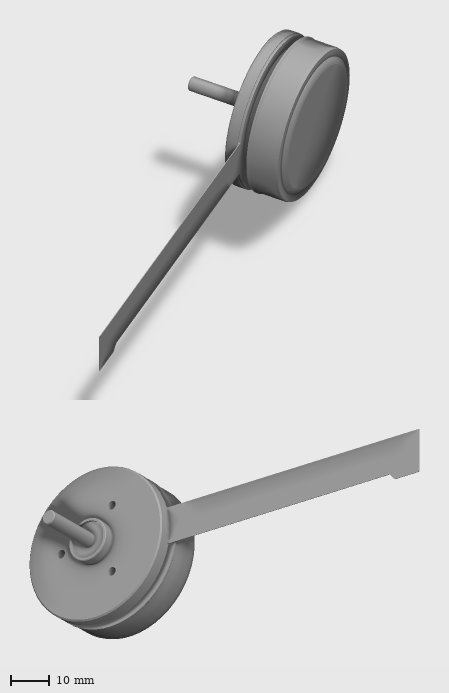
import cadquery as cq
import math

BOSS_START = 17.2
RECESS_FLOOR = 18.1
PLATE_START = 20.6
PLATE_END = 24.0
CIRCUIT_END = 24.7
FLANGE_START = 27.0
FLANGE_RIM_END = 27.4
FLANGE_END = 27.8
CAN_END = 35.9
STEP_END = 36.2
OVERALL_LENGTH = 37.0

SHAFT_RADIUS = 2.0
BOSS_RADIUS = 6.0
RECESS_RADIUS = 5.2
PLATE_RADIUS = 21.6
CIRCUIT_RADIUS = 21.3
NECK_RADIUS = 18.25
CAN_RADIUS = CIRCUIT_RADIUS
STEP_RADIUS = 19.0
REAR_RADIUS = 17.25

REAR_ARC_MIDDLE = (36.7, 18.25)

SHAFT_CHAMFER = 0.3
BOSS_CHAMFER = 0.2
PLATE_CHAMFER = 0.4
CAN_CHAMFER_LENGTH = 0.8
CAN_CHAMFER_DEPTH = 0.2

HOLE_COUNT = 3
HOLE_CIRCLE_RADIUS = 11.0
HOLE_RADIUS = 1.2
HOLE_DEPTH = 2.5
DRILL_POINT_ANGLE = 118.0

RIBBON_THICKNESS = 0.2
OVERALL_SPAN = 124.1
RIBBON_END = OVERALL_SPAN - PLATE_RADIUS
RIBBON_TOP = 6.15
RIBBON_BOTTOM = -4.3
CONTACT_BOTTOM = -RIBBON_TOP
CONTACT_LENGTH = 7.95
CONTACT_TAPER_LENGTH = 1.7


def make_body():
    """Revolve the half section of the motor (axial position, radius) about X."""
    half_section = [
        (0, 0),
        (0, SHAFT_RADIUS - SHAFT_CHAMFER),
        (SHAFT_CHAMFER, SHAFT_RADIUS),
        (RECESS_FLOOR, SHAFT_RADIUS),
        (RECESS_FLOOR, RECESS_RADIUS),
        (BOSS_START, RECESS_RADIUS),
        (BOSS_START, BOSS_RADIUS - BOSS_CHAMFER),
        (BOSS_START + BOSS_CHAMFER, BOSS_RADIUS),
        (PLATE_START, BOSS_RADIUS),
        (PLATE_START, PLATE_RADIUS - PLATE_CHAMFER),
        (PLATE_START + PLATE_CHAMFER, PLATE_RADIUS),
        (PLATE_END, PLATE_RADIUS),
        (PLATE_END, CIRCUIT_RADIUS),
        (CIRCUIT_END, CIRCUIT_RADIUS),
        (CIRCUIT_END, NECK_RADIUS),
        (FLANGE_START, NECK_RADIUS),
        (FLANGE_START, PLATE_RADIUS),
        (FLANGE_RIM_END, PLATE_RADIUS),
        (FLANGE_END, CAN_RADIUS),
        (CAN_END - CAN_CHAMFER_LENGTH, CAN_RADIUS),
        (CAN_END, CAN_RADIUS - CAN_CHAMFER_DEPTH),
        (CAN_END, STEP_RADIUS),
        (STEP_END, STEP_RADIUS),
    ]
    section = (
        cq.Workplane("XY")
        .polyline(half_section)
        .threePointArc(REAR_ARC_MIDDLE, (OVERALL_LENGTH, REAR_RADIUS))
        .lineTo(OVERALL_LENGTH, 0)
        .close()
    )
    return section.revolve(360, (0, 0, 0), (1, 0, 0))


def make_ribbon_tab():
    """Fill the circuit disc out to the plate radius where the ribbon leaves it."""
    tab_length = CIRCUIT_END - PLATE_END
    disc = cq.Workplane("YZ", origin=(PLATE_END, 0, 0)).circle(PLATE_RADIUS).extrude(tab_length)
    window = cq.Workplane("XY").box(
        tab_length, PLATE_RADIUS, RIBBON_TOP - RIBBON_BOTTOM, centered=False
    )
    return disc.intersect(window.translate((PLATE_END, -PLATE_RADIUS, RIBBON_BOTTOM)))


def make_ribbon():
    """Thin flat cable with a wider contact end, flush with the back of the circuit disc."""
    taper_end = RIBBON_END - CONTACT_LENGTH
    taper_start = taper_end - CONTACT_TAPER_LENGTH
    outline = [
        (-NECK_RADIUS, RIBBON_TOP),
        (-RIBBON_END, RIBBON_TOP),
        (-RIBBON_END, CONTACT_BOTTOM),
        (-taper_end, CONTACT_BOTTOM),
        (-taper_start, RIBBON_BOTTOM),
        (-NECK_RADIUS, RIBBON_BOTTOM),
    ]
    start = cq.Workplane("YZ", origin=(CIRCUIT_END - RIBBON_THICKNESS, 0, 0))
    return start.polyline(outline).close().extrude(RIBBON_THICKNESS)


def make_mounting_hole(angle):
    """Blind drilled hole with a conical bottom, at an angle from +Y about the shaft."""
    point_depth = HOLE_RADIUS / math.tan(math.radians(DRILL_POINT_ANGLE / 2))
    drill_section = [
        (0, 0),
        (0, HOLE_RADIUS),
        (HOLE_DEPTH, HOLE_RADIUS),
        (HOLE_DEPTH + point_depth, 0),
    ]
    drill = cq.Workplane("XY").polyline(drill_section).close().revolve(360, (0, 0, 0), (1, 0, 0))
    drill = drill.translate((PLATE_START, HOLE_CIRCLE_RADIUS, 0))
    return drill.rotate((0, 0, 0), (1, 0, 0), angle)


result = make_body().union(make_ribbon_tab()).union(make_ribbon())
for index in range(HOLE_COUNT):
    result = result.cut(make_mounting_hole(index * 360 / HOLE_COUNT))